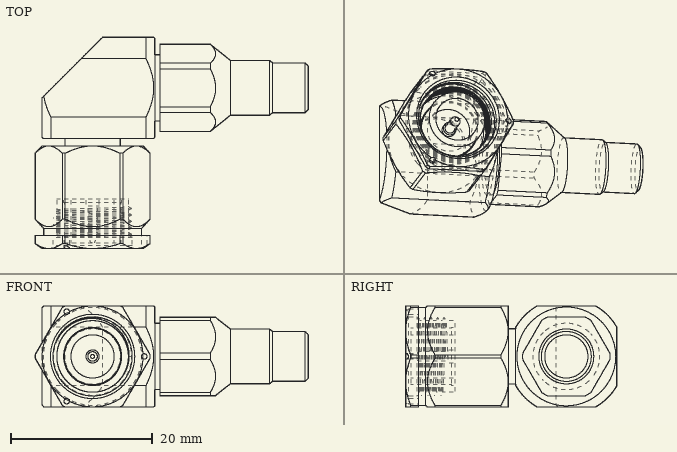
import cadquery as cq
import math


body_size = 14.29
body_half = body_size / 2
body_corner_dia = 16.5
body_right = 8.79
body_end_dia = 13.95
body_chamfer_length = 1.25
miter_leg = 8.57

arm_neck_dia = 9.4
arm_hex_start = 9.5
arm_hex_flats = 11.1
arm_hex_corners = 12.32
arm_cone_start = 16.6
arm_cone_end = 19.45
sleeve_dia = 7.75
sleeve_end = 25.4
sleeve_chamfer_length = 0.45
ferrule_dia = 7.05
arm_end = 30.45
arm_end_dia = 6.1

nut_flats = body_size
nut_corners = 16.24
nut_start = 8.17
nut_end = 19.83
ring_start = 20.82
ring_end = 22.685
nut_face_dia = 14.24
nut_groove_dia = 13.85
nut_rear_chamfer_length = 1.05
nut_front_chamfer_length = 1.3
ring_chamfer_length = 0.72
nut_neck_dia = 7.84

wire_hole_dia = 0.76
wire_hole_radius = 7.3
wire_hole_count = 3

mouth_dia = 11.9
relief_dia = 11.18
mouth_chamfer_depth = 0.42
relief_depth = 1.6
thread_minor_dia = 10.1
thread_major_dia = 11.0
thread_lead_in_depth = 1.9
threads_per_inch = 28
inch = 25.4
thread_pitch = inch / threads_per_inch
thread_start_depth = 1.13
thread_turns = 5
thread_half_angle = math.radians(30)
thread_overlap = 0.1
socket_depth = 7.0

tube_dia = 7.98
tube_base_dia = 8.18
tube_base_height = 0.5
tube_bore_dia = 6.1
tube_recess = 0.77
pin_dia = 1.35
pin_tip_dia = 0.56
pin_recess = 0.86
pin_cone_length = 1.12
pin_shoulder_dia = 1.85
pin_shoulder_height = 1.0


def revolve_x(points):
    """Solid of revolution about X from (x, radius) points; the axis closes it."""
    outline = [(points[0][0], 0)] + points + [(points[-1][0], 0)]
    return cq.Workplane("XY").polyline(outline).close().revolve(360, (0, 0), (1, 0))


def revolve_nut(points):
    """Solid of revolution about the nut axis from (distance, radius) points."""
    return revolve_x(points).rotate((0, 0, 0), (0, 0, 1), -90)


def hex_bar(plane, flats, start, end):
    """Hexagonal bar along the plane's normal, with flats facing +Z and -Z."""
    bar = cq.Workplane(plane).workplane(offset=start)
    bar = bar.polygon(6, flats / math.cos(math.pi / 6)).extrude(end - start)
    return bar


def elbow_body():
    bar = cq.Workplane("XY").box(body_right + body_half, body_size, body_size)
    bar = bar.translate(((body_right - body_half) / 2, 0, 0))
    envelope = revolve_x([
        (-body_half, body_end_dia / 2),
        (-body_half + body_chamfer_length, body_corner_dia / 2),
        (body_right - body_chamfer_length, body_corner_dia / 2),
        (body_right, body_end_dia / 2),
    ])
    miter = cq.Workplane("XY").workplane(offset=-body_half).polyline([
        (-body_half, body_half),
        (-body_half + miter_leg, body_half),
        (-body_half, body_half - miter_leg),
    ]).close().extrude(body_size)
    return bar.intersect(envelope).cut(miter)


def cable_arm():
    hexagon = hex_bar("YZ", arm_hex_flats, arm_hex_start, arm_cone_end)
    hexagon = hexagon.intersect(revolve_x([
        (arm_hex_start, arm_hex_corners / 2),
        (arm_cone_start, arm_hex_corners / 2),
        (arm_cone_end, sleeve_dia / 2),
    ]))
    neck = revolve_x([(0, arm_neck_dia / 2), (arm_hex_start, arm_neck_dia / 2)])
    end_chamfer_length = (ferrule_dia - arm_end_dia) / 2
    sleeve = revolve_x([
        (arm_hex_start, sleeve_dia / 2),
        (sleeve_end - sleeve_chamfer_length, sleeve_dia / 2),
        (sleeve_end, ferrule_dia / 2),
        (arm_end - end_chamfer_length, ferrule_dia / 2),
        (arm_end, arm_end_dia / 2),
    ])
    return neck.union(hexagon).union(sleeve)


def coupling_nut():
    envelope = revolve_nut([
        (nut_start, nut_face_dia / 2),
        (nut_start + nut_rear_chamfer_length, nut_corners / 2),
        (nut_end - nut_front_chamfer_length, nut_corners / 2),
        (nut_end, nut_groove_dia / 2),
        (ring_start, nut_groove_dia / 2),
        (ring_start, nut_corners / 2),
        (ring_end - ring_chamfer_length, nut_corners / 2),
        (ring_end, nut_face_dia / 2),
    ])
    nut = hex_bar("XZ", nut_flats, nut_start, ring_end).intersect(envelope)
    wire_holes = cq.Workplane("XZ").workplane(offset=ring_start)
    wire_holes = wire_holes.polarArray(wire_hole_radius, 0, 360, wire_hole_count)
    wire_holes = wire_holes.circle(wire_hole_dia / 2).extrude(ring_end - ring_start)
    neck = revolve_nut([(0, nut_neck_dia / 2), (nut_start, nut_neck_dia / 2)])
    return nut.cut(wire_holes).cut(socket()).cut(thread_groove()).union(neck)


def socket():
    """Chamfered and relieved cavity that narrows to the thread's minor diameter."""
    return revolve_nut([
        (ring_end, mouth_dia / 2),
        (ring_end - mouth_chamfer_depth, relief_dia / 2),
        (ring_end - relief_depth, relief_dia / 2),
        (ring_end - thread_lead_in_depth, thread_minor_dia / 2),
        (ring_end - socket_depth, thread_minor_dia / 2),
    ])


def thread_groove():
    """Right-hand helical V-groove that starts in the open relief and runs inward."""
    root_radius = thread_major_dia / 2
    base_radius = thread_minor_dia / 2 - thread_overlap
    half_width = (root_radius - base_radius) * math.tan(thread_half_angle)
    length = thread_turns * thread_pitch
    path = cq.Wire.makeHelix(thread_pitch, length, thread_minor_dia / 2)
    groove = cq.Workplane("XZ").polyline([
        (base_radius, -half_width),
        (root_radius, 0),
        (base_radius, half_width),
    ]).close().sweep(cq.Workplane(obj=path), isFrenet=True)
    groove = groove.rotate((0, 0, 0), (1, 0, 0), -90)
    return groove.translate((0, thread_start_depth - ring_end, 0))


def contacts():
    floor = ring_end - socket_depth
    tube_end = ring_end - tube_recess
    pin_end = ring_end - pin_recess
    tube = revolve_nut([
        (floor, tube_base_dia / 2),
        (floor + tube_base_height, tube_base_dia / 2),
        (floor + tube_base_height, tube_dia / 2),
        (tube_end, tube_dia / 2),
    ])
    bore = revolve_nut([(floor, tube_bore_dia / 2), (tube_end, tube_bore_dia / 2)])
    pin = revolve_nut([
        (floor, pin_shoulder_dia / 2),
        (floor + pin_shoulder_height, pin_shoulder_dia / 2),
        (floor + pin_shoulder_height, pin_dia / 2),
        (pin_end - pin_cone_length, pin_dia / 2),
        (pin_end, pin_tip_dia / 2),
    ])
    return tube.cut(bore).union(pin)


result = elbow_body().union(cable_arm()).union(coupling_nut()).union(contacts())